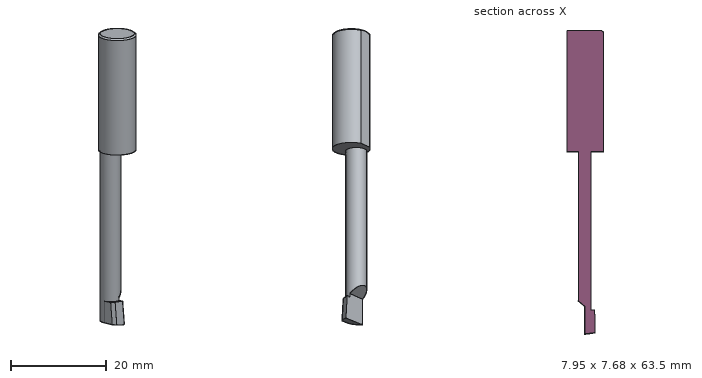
import cadquery as cq
import math

total_length = 63.5
shank_diameter = 7.95
shank_length = 25.4
flat_distance = 3.7
chamfer_width = 0.4
chamfer_height = 0.3

neck_diameter = 4.45
neck_length = total_length - shank_length
shank_radius = shank_diameter / 2
neck_radius = neck_diameter / 2
neck_x = neck_radius - shank_radius

relief_height = 5.85
relief_ramp_rise = 1.9

tip_height = 5.15
tip_x = 1.85
tip_shift = 0.45
tip_corner = 0.2
tip_heel = (1.0, -1.6)
tip_root = (0.3, -2.2)

end_angle_x = 2.0
end_angle_y = 7.0
cut_margin = 6.35


def make_shank():
    """Round shank with a chamfered top and a full-length flat."""
    shank = cq.Workplane("XY").workplane(offset=neck_length).circle(shank_radius).extrude(shank_length)
    shank = shank.faces(">Z").chamfer(chamfer_height, chamfer_width)
    beyond_flat = cq.Workplane("XY").box(
        2 * shank_diameter, shank_diameter, 2 * total_length, centered=(True, False, True)
    )
    return shank.cut(beyond_flat.translate((0, flat_distance, 0)))


def make_neck():
    """Offset round neck, cut down to its -Y half above the cutting tip."""
    neck = cq.Workplane("XY").center(neck_x, 0).circle(neck_radius).extrude(neck_length)
    slope = relief_ramp_rise / neck_radius
    relief = (
        cq.Workplane("YZ")
        .polyline([
            (0, -cut_margin),
            (0, relief_height),
            (cut_margin, relief_height + slope * cut_margin),
            (cut_margin, -cut_margin),
        ])
        .close()
        .extrude(2 * cut_margin, both=True)
    )
    return neck.cut(relief)


def tip_outline(shift):
    """Tip section, with its clearance faces moved towards -X by shift."""
    return [
        (neck_x, 0),
        (tip_x - shift, 0),
        (tip_heel[0] - shift, tip_heel[1]),
        (tip_root[0] - shift, tip_root[1]),
        (neck_x, -neck_radius),
    ]


def make_tip():
    """Leaning cutting tip with a small bevel at its cutting corner."""
    tip = (
        cq.Workplane("XY")
        .polyline(tip_outline(0))
        .close()
        .workplane(offset=tip_height)
        .polyline(tip_outline(tip_shift))
        .close()
        .loft(ruled=True, combine=True)
    )
    bevel = (
        cq.Workplane("XZ")
        .polyline([(tip_x - tip_corner, 0), (tip_x, 0), (tip_x, tip_corner)])
        .close()
        .extrude(neck_radius)
    )
    return tip.cut(bevel)


def make_end_clearance():
    """Body below the end face, which rises from the cutting corner towards -X and -Y."""
    normal = cq.Vector(math.tan(math.radians(end_angle_x)), math.tan(math.radians(end_angle_y)), 1)
    end_plane = cq.Plane(origin=(tip_x - tip_corner, 0, 0), normal=normal)
    return cq.Workplane(end_plane).rect(4 * cut_margin, 4 * cut_margin).extrude(-cut_margin)


result = make_shank().union(make_neck()).union(make_tip()).cut(make_end_clearance())